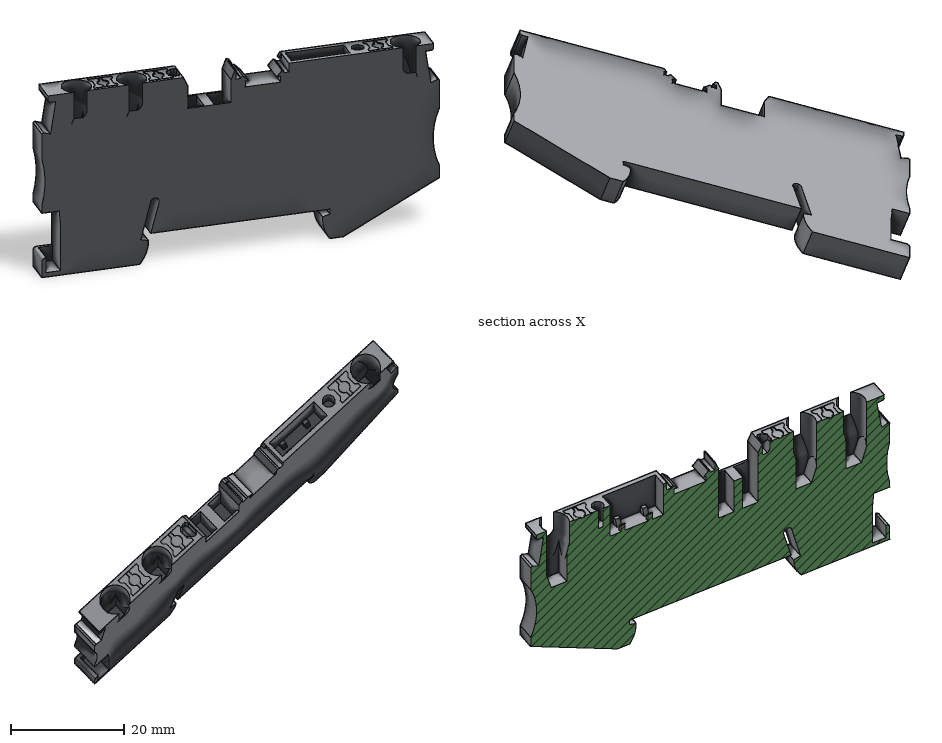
import cadquery as cq

WIDTH = 5.15
LENGTH = 73.7
HEIGHT = 35.2
HALF_WIDTH = WIDTH / 2
HALF_LENGTH = LENGTH / 2
OVERCUT = 0.75

RAIL_TOP = 5.75
FOOT_STEP = 4.8
FOOT_TIP = 4.4
FOOT_KNEE = 3.6
FIXED_HOOK_ROOT = 16.5
FIXED_HOOK_TIP = 15.2
SPRING_HOOK_ROOT = -18.5
SPRING_HOOK_TIP = -17.1
SPRING_HOOK_TOE = -18.7
FOOT_BULGE = 1.8
SLOT_MOUTH = -16.65
UNDERCUT_FOOT = 19.0
UNDERCUT_END = 9.0

FAR_GRIP = (11.3, 16.95, 22.6)
FAR_GRIP_DEPTH = 1.2
NEAR_GRIP = (14.0, 18.6, 23.15)
NEAR_GRIP_DEPTH = 0.6

LEDGE = 12.5
RECESS_FLOOR = 3.75
RECESS_WALL = -33.4
RECESS_WALL_TOP = -33.6
RECESS_KNEE = 9.7
TOE_RADIUS = 0.75
TOE_LIP = 0.8
TOE_POCKET_WALL = 0.7
TOE_POCKET_FLOOR = 0.9

LABEL_FLOOR = 31.8
HOOK_UNDERSIDE = 34.4
GROOVE_FLOOR = 33.5
RIDGE_TOP = 34.0
RIDGE_EDGE = 33.75
RIDGE_UNDERSIDE = 32.9
VALLEY_FLOOR = 29.1
VALLEY_START = -1.8
VALLEY_END = -9.8
VALLEY_SHOULDER = 33.5
BLOCK_EDGE = 8.9
POST_EDGE = -0.9
NEAR_RIDGE_EDGE = 0.0
FAR_RIDGE_EDGE = 8.0
HOOK_WIDTH = 0.9

ENTRY_X = 0.2
ENTRY_RADIUS = 2.65
ENTRY_SQUARE = 3.1
ENTRY_SQUARE_X = 0.11
ENTRY_SQUARE_SHIFT = 0.2
ENTRY_COLLAR = 3.7
ENTRY_DEPTH = 9.6
ENTRY_BOTTOM = 14.0
ENTRIES = ((31.25, 1), (-19.45, -1), (-29.7, -1))

BUTTON_OFFSET = 5.0
BUTTON_HALF_WIDTH = 1.9
BUTTON_HALF_LENGTH = 2.2
BUTTON_WAIST_DEPTH = 0.5
BUTTON_WAIST_FLAT = 0.8
BUTTON_WAIST_OPENING = 1.3
BUTTON_RECESS = 0.1
SCREW_RADIUS = 1.0
SCREW_SLOT = 0.7
SCREW_DEPTH = 0.3

TEST_HOLE_Y = 22.5
TEST_HOLE_RADIUS = 1.1
TEST_HOLE_DEPTH = 4.4

BRIDGE_START = 9.65
BRIDGE_END = 20.5
BRIDGE_WIDTH = 3.4
BRIDGE_DEPTH = 7.4
CLIP_CENTERS = (17.9, 12.3)
CLIP_LENGTH = 0.95
CLIP_HEIGHT = 1.5
CLIP_BACK = 1.5
CLIP_TOP_GAP = 1.6
CLIP_ROOT_GAP = 0.6

KEY_POCKET_START = -10.75
KEY_POCKET_SHOULDER = -11.05
KEY_POCKET_BEND = -11.7
KEY_POCKET_END = -12.75
KEY_POCKET_DEPTH = 2.6
KEY_POCKET_RIM = 1.2

VALLEY_POCKET_WIDTH = 4.3
VALLEY_POCKET_LENGTH = 3.1
VALLEY_POCKET_DEPTH = 7.4


def upper_end(side):
    """Outline from the top corner down to the grip shoulder; side is +1 or -1 in Y."""
    points = [
        (35.75, HEIGHT),
        (35.75, 34.3),
        (35.45, 34.0),
        (34.3, 33.9),
        (35.2, 27.7),
        (36.5, 28.15),
        (HALF_LENGTH, 27.9),
    ]
    return [(side * y, z) for y, z in points]


def body():
    """Full side outline, extruded across the width."""
    top_profile = [
        (-10.6, HEIGHT),
        (VALLEY_END, VALLEY_SHOULDER),
        (VALLEY_END, VALLEY_FLOOR),
        (VALLEY_START, VALLEY_FLOOR),
        (VALLEY_START, VALLEY_SHOULDER),
        (-1.1, HEIGHT),
        (-0.7, HEIGHT),
        (-0.15, HOOK_UNDERSIDE),
        (POST_EDGE, HOOK_UNDERSIDE),
        (POST_EDGE, GROOVE_FLOOR),
        (NEAR_RIDGE_EDGE, GROOVE_FLOOR),
        (NEAR_RIDGE_EDGE, RIDGE_EDGE),
        (0.4, RIDGE_TOP),
        (1.55, RIDGE_UNDERSIDE),
        (0.9, RIDGE_UNDERSIDE),
        (0.9, LABEL_FLOOR),
        (7.4, LABEL_FLOOR),
        (7.4, RIDGE_UNDERSIDE),
        (6.6, RIDGE_UNDERSIDE),
        (7.7, RIDGE_TOP),
        (FAR_RIDGE_EDGE, RIDGE_EDGE),
        (FAR_RIDGE_EDGE, GROOVE_FLOOR),
        (BLOCK_EDGE, GROOVE_FLOOR),
        (BLOCK_EDGE, HOOK_UNDERSIDE),
        (8.4, HOOK_UNDERSIDE),
        (BLOCK_EDGE, HEIGHT),
    ]
    outline = (
        cq.Workplane("YZ", origin=(-HALF_WIDTH, 0, 0))
        .polyline(upper_end(1))
        .lineTo(HALF_LENGTH, FAR_GRIP[2])
        .threePointArc((HALF_LENGTH - FAR_GRIP_DEPTH, FAR_GRIP[1]), (HALF_LENGTH, FAR_GRIP[0]))
        .lineTo(HALF_LENGTH, UNDERCUT_END)
        .lineTo(UNDERCUT_FOOT, 0)
        .lineTo(FIXED_HOOK_ROOT, 0)
        .threePointArc((15.55, FOOT_BULGE), (FIXED_HOOK_TIP, FOOT_KNEE))
        .lineTo(FIXED_HOOK_TIP, FOOT_TIP)
        .lineTo(FIXED_HOOK_ROOT, FOOT_STEP)
        .lineTo(FIXED_HOOK_ROOT, RAIL_TOP)
        .lineTo(SLOT_MOUTH, RAIL_TOP)
        .lineTo(-15.1, 11.6)
        .threePointArc((-15.85, 12.5), (-16.7, 11.7))
        .lineTo(SPRING_HOOK_ROOT, FOOT_STEP)
        .lineTo(SPRING_HOOK_TIP, FOOT_TIP)
        .lineTo(SPRING_HOOK_TIP, FOOT_KNEE)
        .threePointArc((-17.6, FOOT_BULGE), (SPRING_HOOK_TOE, 0))
        .lineTo(-HALF_LENGTH, 0)
        .lineTo(-HALF_LENGTH, RECESS_FLOOR - TOE_RADIUS)
        .radiusArc((-HALF_LENGTH + TOE_RADIUS, RECESS_FLOOR), TOE_RADIUS)
        .lineTo(RECESS_WALL, RECESS_FLOOR)
        .lineTo(RECESS_WALL, RECESS_KNEE)
        .lineTo(RECESS_WALL_TOP, LEDGE)
        .lineTo(-HALF_LENGTH, LEDGE)
        .lineTo(-HALF_LENGTH, NEAR_GRIP[0])
        .threePointArc((NEAR_GRIP_DEPTH - HALF_LENGTH, NEAR_GRIP[1]), (-HALF_LENGTH, NEAR_GRIP[2]))
    )
    for point in upper_end(-1)[::-1] + top_profile:
        outline = outline.lineTo(*point)
    return outline.close().extrude(WIDTH)


def limits_box(x_range, y_range, z_range):
    """Box between pairs of limits."""
    (x0, x1), (y0, y1), (z0, z1) = x_range, y_range, z_range
    return cq.Workplane("XY").box(x1 - x0, y1 - y0, z1 - z0, centered=False).translate((x0, y0, z0))


def hook_trims():
    """Remove both outer label hooks except along the -X side."""
    x_range = (-HALF_WIDTH + HOOK_WIDTH, HALF_WIDTH + OVERCUT)
    z_range = (GROOVE_FLOOR, HEIGHT + OVERCUT)
    far_hook = limits_box(x_range, (FAR_RIDGE_EDGE, BLOCK_EDGE), z_range)
    near_hook = limits_box(x_range, (POST_EDGE, NEAR_RIDGE_EDGE), z_range)
    return far_hook.union(near_hook)


def toe_pocket():
    """Hollow behind the toe lip, open toward +X and into the release recess."""
    return limits_box(
        (-HALF_WIDTH + TOE_POCKET_WALL, HALF_WIDTH + OVERCUT),
        (-HALF_LENGTH + TOE_LIP, RECESS_WALL),
        (TOE_POCKET_FLOOR, RECESS_FLOOR + OVERCUT),
    )


def wire_entry(mouth_y, ramp):
    """Round mouth narrowing to a square hole, with a ramp on the side given by ramp (+1 or -1)."""
    square_y = mouth_y - ramp * ENTRY_SQUARE_SHIFT
    half_square = ENTRY_SQUARE / 2
    throat_floor = HEIGHT - ENTRY_DEPTH
    collar_bottom = HEIGHT - ENTRY_COLLAR
    hole_bottom = HEIGHT - ENTRY_BOTTOM
    mouth_rim = mouth_y + ramp * ENTRY_RADIUS
    beyond_mouth = mouth_rim + ramp * OVERCUT

    def bore(depth):
        return cq.Workplane("XY", origin=(ENTRY_X, mouth_y, HEIGHT)).circle(ENTRY_RADIUS).extrude(-depth)

    def throat_section(z, center_x, radius):
        """Half round below the mouth, open toward the ramp."""
        return (
            cq.Workplane("XY", origin=(0, 0, z))
            .moveTo(center_x - radius, beyond_mouth)
            .lineTo(center_x - radius, square_y)
            .threePointArc((center_x, square_y - ramp * radius), (center_x + radius, square_y))
            .lineTo(center_x + radius, beyond_mouth)
            .close()
            .val()
        )

    throat_ends = [
        throat_section(collar_bottom, ENTRY_X, ENTRY_RADIUS),
        throat_section(throat_floor, ENTRY_SQUARE_X, half_square),
    ]
    throat = cq.Workplane(cq.Solid.makeLoft(throat_ends, True))

    ramp_foot = square_y + ramp * half_square
    ramp_channel = (
        cq.Workplane("YZ", origin=(ENTRY_SQUARE_X - half_square, 0, 0))
        .moveTo(square_y - ramp * half_square, hole_bottom)
        .lineTo(ramp_foot, hole_bottom)
        .lineTo(mouth_rim, throat_floor)
        .lineTo(mouth_rim, collar_bottom)
        .lineTo(square_y - ramp * half_square, collar_bottom)
        .close()
        .extrude(ENTRY_SQUARE)
    )
    lower = throat.union(ramp_channel).intersect(bore(ENTRY_BOTTOM))
    return bore(ENTRY_COLLAR).union(lower)


def release_button(center_y):
    """Shallow waisted plate with a round, slotted screwdriver seat."""
    half_plate = [
        (BUTTON_WAIST_FLAT, BUTTON_HALF_LENGTH - BUTTON_WAIST_DEPTH),
        (BUTTON_WAIST_OPENING, BUTTON_HALF_LENGTH),
        (BUTTON_HALF_WIDTH, BUTTON_HALF_LENGTH),
        (BUTTON_HALF_WIDTH, -BUTTON_HALF_LENGTH),
        (BUTTON_WAIST_OPENING, -BUTTON_HALF_LENGTH),
        (BUTTON_WAIST_FLAT, BUTTON_WAIST_DEPTH - BUTTON_HALF_LENGTH),
    ]
    other_half = [(-x, -y) for x, y in half_plate]
    top = cq.Workplane("XY", origin=(0, center_y, HEIGHT))
    plate = top.polyline(half_plate + other_half).close().extrude(-BUTTON_RECESS)
    seat = top.circle(SCREW_RADIUS).extrude(-SCREW_DEPTH)
    slot = top.rect(2 * BUTTON_HALF_WIDTH, SCREW_SLOT).extrude(-SCREW_DEPTH)
    return plate.union(seat).union(slot)


def test_hole():
    """Round blind hole for a test probe."""
    top = cq.Workplane("XY", origin=(0, TEST_HOLE_Y, HEIGHT))
    return top.circle(TEST_HOLE_RADIUS).extrude(-TEST_HOLE_DEPTH)


def bridge_slot():
    """Long slot for a plug-in bridge, with two pairs of wedge clips left on its floor."""
    half_width = BRIDGE_WIDTH / 2
    floor = HEIGHT - BRIDGE_DEPTH
    slot = limits_box((-half_width, half_width), (BRIDGE_START, BRIDGE_END), (floor, HEIGHT))
    for center_y in CLIP_CENTERS:
        for side in (-1, 1):
            clip = (
                cq.Workplane("XZ", origin=(0, center_y + CLIP_LENGTH / 2, floor))
                .moveTo(side * CLIP_BACK, 0)
                .lineTo(side * CLIP_ROOT_GAP / 2, 0)
                .lineTo(side * CLIP_TOP_GAP / 2, CLIP_HEIGHT)
                .lineTo(side * CLIP_BACK, CLIP_HEIGHT)
                .close()
                .extrude(CLIP_LENGTH)
            )
            slot = slot.cut(clip)
    return slot


def key_pocket():
    """Tapered pocket whose floor rises toward its narrow end."""
    half_outline = [
        (0.9, KEY_POCKET_START),
        (1.5, KEY_POCKET_SHOULDER),
        (1.5, KEY_POCKET_BEND),
        (0.5, KEY_POCKET_END),
    ]
    other_half = [(-x, y) for x, y in half_outline[::-1]]
    top = cq.Workplane("XY", origin=(0, 0, HEIGHT))
    pocket = top.polyline(half_outline + other_half).close().extrude(-KEY_POCKET_DEPTH)
    ramp = (
        cq.Workplane("YZ", origin=(-HALF_WIDTH, 0, HEIGHT))
        .moveTo(KEY_POCKET_BEND, -KEY_POCKET_DEPTH)
        .lineTo(KEY_POCKET_END, -KEY_POCKET_DEPTH)
        .lineTo(KEY_POCKET_END, -KEY_POCKET_RIM)
        .close()
        .extrude(WIDTH)
    )
    return pocket.cut(ramp)


def valley_pockets():
    """One rectangular pocket against each end wall of the deep valley."""
    x_range = (-VALLEY_POCKET_WIDTH / 2, VALLEY_POCKET_WIDTH / 2)
    z_range = (VALLEY_FLOOR - VALLEY_POCKET_DEPTH, VALLEY_FLOOR)
    first = limits_box(x_range, (VALLEY_START - VALLEY_POCKET_LENGTH, VALLEY_START), z_range)
    second = limits_box(x_range, (VALLEY_END, VALLEY_END + VALLEY_POCKET_LENGTH), z_range)
    return first.union(second)


result = body().cut(hook_trims())
for entry_y, ramp_side in ENTRIES:
    button_y = entry_y - BUTTON_OFFSET * ramp_side
    result = result.cut(release_button(button_y))
    result = result.cut(wire_entry(entry_y, ramp_side))
for cutter in (toe_pocket(), test_hole(), bridge_slot(), key_pocket(), valley_pockets()):
    result = result.cut(cutter)